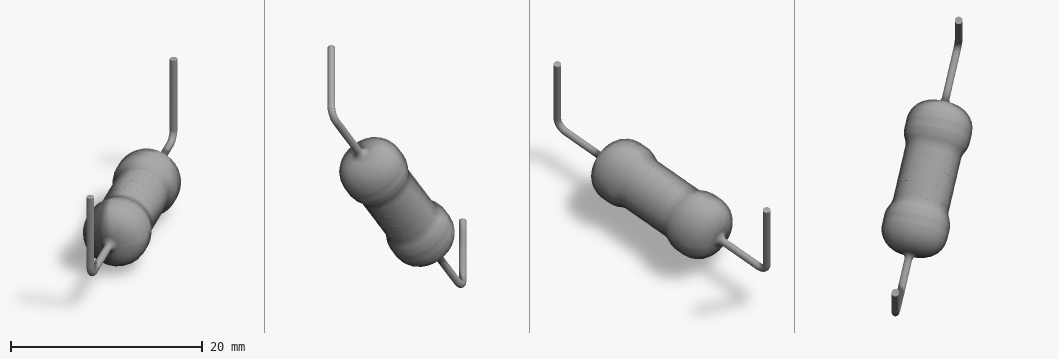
import cadquery as cq
import math


lead_diameter = 0.8
lead_spacing = 30.0
lead_height = 9.6
bend_radius = 1.2

cap_diameter = 7.0
waist_diameter = 5.95
body_length = 16.5
cap_rounding = 2.45
cap_straight_length = 1.02
collar_fillet = 0.7

band_diameter = 5.97
band_count = 4
band_width = 0.783

lead_radius = lead_diameter / 2
cap_radius = cap_diameter / 2
waist_radius = waist_diameter / 2
body_end = body_length / 2
banded_length = (2 * band_count - 1) * band_width

waist_end = banded_length / 2
cap_round_start = body_end - cap_rounding
shoulder_end = cap_round_start - cap_straight_length
collar_end = body_end + collar_fillet


def make_waist():
    """Plain cylinder that carries the bands."""
    return (
        cq.Workplane("XZ", origin=(0, waist_end, 0))
        .circle(waist_radius)
        .extrude(banded_length)
    )


def make_body_end():
    """Revolve the +Y end of the body: S-shaped shoulder, rounded cap and lead collar."""
    shoulder_middle = ((waist_radius + cap_radius) / 2, (waist_end + shoulder_end) / 2)
    arc_rise = (cap_radius - waist_radius) / 2
    arc_length = (shoulder_end - waist_end) / 2
    shoulder_radius = (arc_length**2 + arc_rise**2) / (2 * arc_rise)
    diagonal = math.sqrt(0.5)
    cap_arc_middle = (
        cap_radius - cap_rounding * (1 - diagonal),
        cap_round_start + cap_rounding * diagonal,
    )
    collar_arc_middle = (
        lead_radius + collar_fillet * (1 - diagonal),
        collar_end - collar_fillet * diagonal,
    )
    return (
        cq.Workplane("XY")
        .moveTo(0, waist_end)
        .lineTo(waist_radius, waist_end)
        .radiusArc(shoulder_middle, shoulder_radius)
        .radiusArc((cap_radius, shoulder_end), -shoulder_radius)
        .lineTo(cap_radius, cap_round_start)
        .threePointArc(cap_arc_middle, (cap_radius - cap_rounding, body_end))
        .lineTo(lead_radius + collar_fillet, body_end)
        .threePointArc(collar_arc_middle, (lead_radius, collar_end))
        .lineTo(0, collar_end)
        .close()
        .revolve(360, (0, 0, 0), (0, 1, 0))
    )


def make_band(center_y):
    """Thin disc that stands slightly proud of the waist."""
    return (
        cq.Workplane("XZ", origin=(0, center_y + band_width / 2, 0))
        .circle(band_diameter / 2)
        .extrude(band_width)
    )


def make_lead():
    """Round wire leaving the +Y end of the body and bending up."""
    lead_y = lead_spacing / 2
    path = (
        cq.Workplane("YZ")
        .moveTo(collar_end, 0)
        .lineTo(lead_y - bend_radius, 0)
        .radiusArc((lead_y, bend_radius), -bend_radius)
        .lineTo(lead_y, lead_height)
    )
    return cq.Workplane("XZ", origin=(0, collar_end, 0)).circle(lead_radius).sweep(path)


body_end_with_lead = make_body_end().union(make_lead())
result = make_waist().union(body_end_with_lead).union(body_end_with_lead.mirror("XZ"))
for index in range(band_count):
    band_y = (2 * index - (band_count - 1)) * band_width
    result = result.union(make_band(band_y))